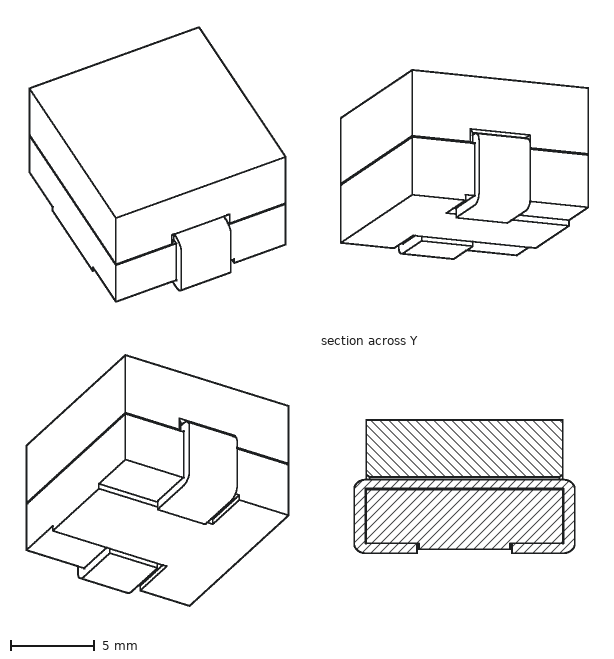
import cadquery as cq

overall_length = 13.15
core_length = 11.7
core_depth = 11.25
overall_height = 7.95

lower_core_bottom = 0.25
lower_core_top = 3.81
core_gap = 0.08
upper_core_bottom = lower_core_top + core_gap

clip_width = 3.29
clip_top = 4.4
clip_clearance = 0.04
foot_thickness = 0.59
foot_length = 3.76
bend_length = 0.72
bend_height = 0.59

foot_end_gap = 0.09
recess_back = 2.22

channel_width = 3.37
channel_height = 0.65
mouth_width = 3.85
mouth_height = 0.79
mouth_depth = 0.22


def make_lower_core():
    """Rectangular block with a foot recess under each end, open to the front."""
    core = cq.Workplane("XY").box(
        core_length, core_depth, lower_core_top - lower_core_bottom, centered=(True, True, False)
    ).translate((0, 0, lower_core_bottom))
    pad_half_length = overall_length / 2 - foot_length - foot_end_gap
    recess_length = core_length / 2 - pad_half_length
    for side in (-1, 1):
        recess = cq.Workplane("XY").box(
            recess_length,
            core_depth / 2 + recess_back,
            foot_thickness - lower_core_bottom,
            centered=(True, False, False),
        ).translate((side * (pad_half_length + recess_length / 2), -core_depth / 2, lower_core_bottom))
        core = core.cut(recess)
    return core


def make_mouth(side):
    """Flare that narrows from one end face of the upper core to the channel size."""
    return (
        cq.Workplane("YZ", origin=(side * core_length / 2, 0, upper_core_bottom))
        .rect(mouth_width, 2 * mouth_height)
        .workplane(offset=-side * mouth_depth)
        .rect(channel_width, 2 * channel_height)
        .loft(ruled=True)
    )


def make_upper_core():
    """Rectangular block with a flared clip channel running through its underside."""
    core = cq.Workplane("XY").box(
        core_length, core_depth, overall_height - upper_core_bottom, centered=(True, True, False)
    ).translate((0, 0, upper_core_bottom))
    channel = cq.Workplane("XY").box(
        core_length, channel_width, channel_height, centered=(True, True, False)
    ).translate((0, 0, upper_core_bottom))
    core = core.cut(channel)
    for side in (-1, 1):
        core = core.cut(make_mouth(side))
    return core


def make_rounded_bar():
    """Solid envelope of the clip: a bar along Y with elliptical long corners."""
    half_length = overall_length / 2
    flat_half_length = half_length - bend_length
    upper_bend_start = clip_top - bend_height
    return (
        cq.Workplane("XZ", origin=(0, clip_width / 2, 0))
        .moveTo(-flat_half_length, 0)
        .lineTo(flat_half_length, 0)
        .ellipseArc(bend_length, bend_height, 270, 360, startAtCurrent=True)
        .lineTo(half_length, upper_bend_start)
        .ellipseArc(bend_length, bend_height, 0, 90, startAtCurrent=True)
        .lineTo(-flat_half_length, clip_top)
        .ellipseArc(bend_length, bend_height, 90, 180, startAtCurrent=True)
        .lineTo(-half_length, bend_height)
        .ellipseArc(bend_length, bend_height, 180, 270, startAtCurrent=True)
        .close()
        .extrude(clip_width)
    )


def make_clip():
    """Strip wrapped over the lower core, down both ends and under it as two feet."""
    opening_length = core_length + 2 * clip_clearance
    opening_top = lower_core_top + clip_clearance
    bar = make_rounded_bar()
    opening = cq.Workplane("XY").box(
        opening_length, clip_width, opening_top - foot_thickness, centered=(True, True, False)
    ).translate((0, 0, foot_thickness))
    foot_gap = cq.Workplane("XY").box(
        overall_length - 2 * foot_length, clip_width, foot_thickness, centered=(True, True, False)
    )
    return bar.cut(opening).cut(foot_gap)


lower_core = make_lower_core()
upper_core = make_upper_core()
clip = make_clip()

result = cq.Compound.makeCompound([lower_core.val(), upper_core.val(), clip.val()])